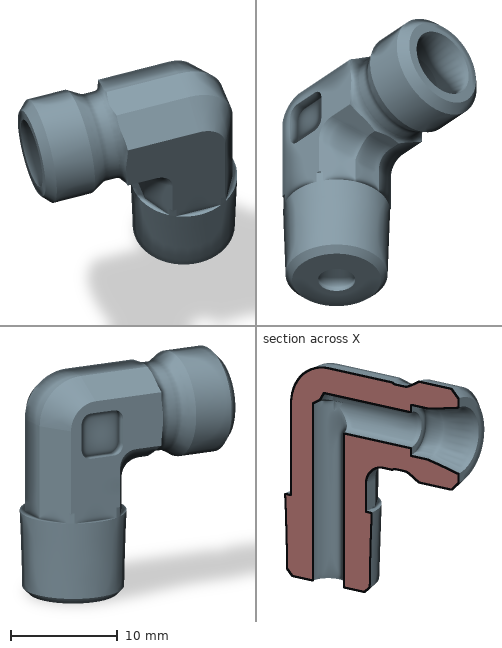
import cadquery as cq
import math


across_flats = 9.0
bend_plane_half = 4.33
hex_angle = math.radians(30)
inner_bend_radius = 2.0

outlet_length = 15.0
outlet_radius = 10.0 / 2
outlet_chamfer = 0.84
neck_radius = 8.4 / 2
neck_start = 7.0
neck_fillet = 0.8
shoulder_start = 10.4
shoulder_angle = math.radians(30)

thread_start = 9.0
overall_height = 22.0
thread_end = overall_height - outlet_radius
thread_radius = 10.03 / 2
thread_taper = 1 / 32
thread_chamfer = 0.62
relief_height = 1.0

bore_radius = 3.5 / 2
bore_overrun = 0.5
drill_tip_angle = math.radians(118)
tube_radius = 5.0 / 2
tube_seat_depth = 5.5
cone_mouth_radius = 6.51 / 2
cone_half_angle = math.radians(12)

panel_size = 4.4
panel_corner = 1.0
panel_depth = 1.0
panel_center = -0.73

body_half = across_flats / 2
side_flat_half = body_half * math.tan(hex_angle)
point_half = body_half / math.cos(hex_angle)
neck_begin = neck_start + neck_fillet


def make_bar_bend(corner_points):
    """Bend a bar by 90 degrees and round the inside of the bend.

    corner_points outline the upper half of the bar, from +X to -X; the lower half mirrors it.
    """
    outline = corner_points + [(x, -y) for x, y in reversed(corner_points)]
    right, left = corner_points[0][0], corner_points[-1][0]
    half_outline = [(right, 0)] + corner_points + [(left, 0)]

    outlet_leg = cq.Workplane("XZ").polyline(outline).close().extrude(neck_begin)
    thread_leg = cq.Workplane("XY").polyline(outline).close().extrude(-thread_start)
    outer_bend = (
        cq.Workplane("XZ").polyline(half_outline).close()
        .revolve(90, (0, 0, 0), (-1, 0, 0))
    )
    bend = outlet_leg.union(thread_leg).union(outer_bend)

    far = -point_half
    near = -(side_flat_half + bend_plane_half) / 2
    inner_edges = cq.selectors.BoxSelector((left, far, far), (right, near, near))
    return bend.edges(inner_edges).fillet(inner_bend_radius)


def make_body():
    hexagon = [(body_half, side_flat_half), (0, point_half), (-body_half, side_flat_half)]
    flat_bar = [(point_half, bend_plane_half), (-point_half, bend_plane_half)]
    body = make_bar_bend(hexagon).intersect(make_bar_bend(flat_bar))

    relief_ring = (
        cq.Workplane("XY").workplane(offset=-thread_start)
        .circle(2 * thread_radius).circle(thread_radius).extrude(relief_height)
    )
    return body.cut(relief_ring).cut(make_flare_cut())


def make_flare_cut():
    """Ring turned off the end of the outlet leg, leaving a concave flare into the neck."""
    flare_mid = neck_fillet * (1 - math.sqrt(0.5))
    ring_radius = 2 * outlet_radius
    profile = (
        cq.Workplane("XY")
        .moveTo(neck_radius, -neck_begin)
        .threePointArc(
            (neck_radius + flare_mid, -neck_start - flare_mid),
            (neck_radius + neck_fillet, -neck_start),
        )
        .lineTo(ring_radius, -neck_start)
        .lineTo(ring_radius, -neck_begin)
        .close()
    )
    return profile.revolve(360, (0, 0, 0), (0, 1, 0))


def make_outlet():
    cone_low_radius = neck_radius + neck_fillet * (1 - math.cos(shoulder_angle))
    cone_low = shoulder_start - (outlet_radius - cone_low_radius) / math.tan(shoulder_angle)
    neck_end = cone_low - neck_fillet * math.sin(shoulder_angle)
    blend_mid_radius = neck_radius + neck_fillet * (1 - math.cos(shoulder_angle / 2))
    blend_mid = neck_end + neck_fillet * math.sin(shoulder_angle / 2)
    profile = (
        cq.Workplane("XY")
        .moveTo(0, -neck_begin)
        .lineTo(neck_radius, -neck_begin)
        .lineTo(neck_radius, -neck_end)
        .threePointArc((blend_mid_radius, -blend_mid), (cone_low_radius, -cone_low))
        .lineTo(outlet_radius, -shoulder_start)
        .lineTo(outlet_radius, -outlet_length + outlet_chamfer)
        .lineTo(outlet_radius - outlet_chamfer, -outlet_length)
        .lineTo(0, -outlet_length)
        .close()
    )
    return profile.revolve(360, (0, 0, 0), (0, 1, 0))


def make_thread():
    chamfer_start = thread_end - thread_chamfer
    small_radius = thread_radius - (chamfer_start - thread_start) * thread_taper
    profile = [
        (0, -thread_start),
        (thread_radius, -thread_start),
        (small_radius, -chamfer_start),
        (small_radius - thread_chamfer, -thread_end),
        (0, -thread_end),
    ]
    return cq.Workplane("XZ").polyline(profile).close().revolve(360, (0, 0, 0), (0, 1, 0))


def make_drilling(plane, length):
    """Blind drilling from the leg end, closed by a conical drill tip."""
    tip = bore_overrun + bore_radius / math.tan(drill_tip_angle / 2)
    profile = [(0, -length), (bore_radius, -length), (bore_radius, bore_overrun), (0, tip)]
    return cq.Workplane(plane).polyline(profile).close().revolve(360, (0, 0, 0), (0, 1, 0))


def make_tube_seat():
    cone_depth = (cone_mouth_radius - tube_radius) / math.tan(cone_half_angle)
    profile = [
        (0, -outlet_length),
        (cone_mouth_radius, -outlet_length),
        (tube_radius, -outlet_length + cone_depth),
        (tube_radius, -outlet_length + tube_seat_depth),
        (0, -outlet_length + tube_seat_depth),
    ]
    return cq.Workplane("XY").polyline(profile).close().revolve(360, (0, 0, 0), (0, 1, 0))


def make_panel():
    return (
        cq.Workplane("YZ", origin=(-body_half, panel_center, panel_center))
        .rect(panel_size, panel_size).extrude(panel_depth)
        .edges("|X").fillet(panel_corner)
    )


result = (
    make_body()
    .union(make_outlet())
    .union(make_thread())
    .cut(make_drilling("XY", outlet_length))
    .cut(make_drilling("XZ", thread_end))
    .cut(make_tube_seat())
    .cut(make_panel())
)